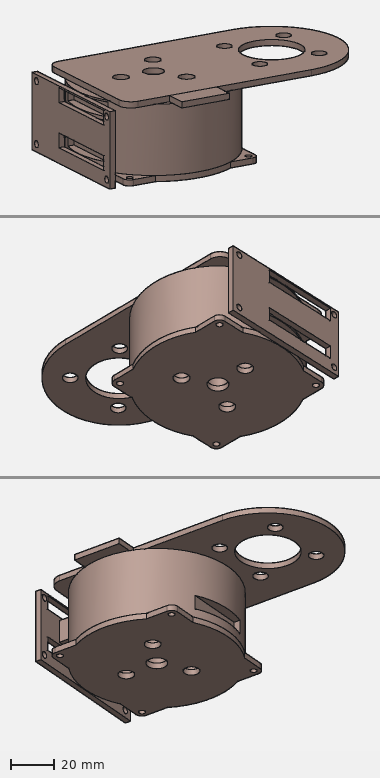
import cadquery as cq


plate_thickness = 3.0
total_height = 40.6
half_width = 35.6
arm_bottom = total_height - plate_thickness
drum_bottom = plate_thickness

drum_radius = 40.9

shaft_hole_diameter = 10.0
bolt_hole_diameter = 7.8
bolt_circle_radius = 17.5
bolt_count = 3
first_bolt_angle = 30

arm_reach = 63.8
arm_front_y = -36.0
arm_corner_radius = 6.5
bearing_hole_diameter = 30.7
flange_hole_diameter = 7.2
flange_hole_pitch = 31.9

tab_end_x = 46.8
tab_width = 25.5

base_corner_radius = 3.5
ear_hole_diameter = 3.2
ear_hole_pitch = 64.0

panel_front_y = -44.2
panel_back_y = panel_front_y + plate_thickness
panel_right_x = 34.5
panel_hole_diameter = 3.3
panel_hole_left_inset = 4.2
panel_hole_right_inset = 2.9
panel_hole_bottom_inset = 3.9
panel_hole_top_inset = 3.2

slot_left_x = -11.3
slot_right_x = 29.0
slot_height = 7.2
lower_slot_z = 7.6
upper_slot_z = 29.6
slot_floor_y = -36.0

block_half_width = 20.0
block_bottom = 16.1
block_top = 27.7


def box_between(x_range, y_range, z_range):
    """Box given by its lower and upper limit along each axis."""
    return (
        cq.Workplane("XY")
        .box(
            x_range[1] - x_range[0],
            y_range[1] - y_range[0],
            z_range[1] - z_range[0],
            centered=False,
        )
        .translate((x_range[0], y_range[0], z_range[0]))
    )


def mounting_holes():
    """Cutter for the shaft hole and the bolt holes around it."""
    bolts = (
        cq.Workplane("XY")
        .polarArray(bolt_circle_radius, first_bolt_angle, 360, bolt_count)
        .circle(bolt_hole_diameter / 2)
        .extrude(total_height)
    )
    shaft = cq.Workplane("XY").circle(shaft_hole_diameter / 2).extrude(total_height)
    return bolts.union(shaft)


def slot_cutter(y_range, bottom_z):
    return box_between((slot_left_x, slot_right_x), y_range, (bottom_z, bottom_z + slot_height))


def connector_block():
    return box_between(
        (-block_half_width, block_half_width),
        (panel_back_y, slot_floor_y),
        (block_bottom, block_top),
    )


def arm():
    """Long plate with one round end and two rounded corners."""
    plate = (
        cq.Workplane("XY", origin=(0, 0, arm_bottom))
        .moveTo(-half_width, arm_front_y)
        .lineTo(half_width, arm_front_y)
        .lineTo(half_width, arm_reach)
        .threePointArc((0, arm_reach + half_width), (-half_width, arm_reach))
        .close()
        .extrude(plate_thickness)
    )
    plate = plate.edges("|Z").edges("<Y").fillet(arm_corner_radius)
    end_holes = cq.Workplane("XY", origin=(0, arm_reach, arm_bottom))
    bearing_hole = end_holes.circle(bearing_hole_diameter / 2).extrude(plate_thickness)
    flange_holes = (
        end_holes.rect(flange_hole_pitch, flange_hole_pitch, forConstruction=True)
        .vertices()
        .circle(flange_hole_diameter / 2)
        .extrude(plate_thickness)
    )
    return plate.cut(bearing_hole).cut(flange_holes).cut(mounting_holes())


def tab():
    """Small plate against the right edge of the arm."""
    return box_between(
        (half_width, tab_end_x),
        (-tab_width / 2, tab_width / 2),
        (arm_bottom, total_height),
    )


def drum():
    """Cylinder with slots in its rim and a recess for the connector block."""
    body = (
        cq.Workplane("XY", origin=(0, 0, drum_bottom))
        .circle(drum_radius)
        .extrude(arm_bottom - drum_bottom)
    )
    front_slot = (-drum_radius, slot_floor_y)
    back_slot = (-slot_floor_y, drum_radius)
    body = body.cut(slot_cutter(front_slot, lower_slot_z))
    body = body.cut(slot_cutter(front_slot, upper_slot_z))
    body = body.cut(slot_cutter(back_slot, lower_slot_z))
    return body.cut(connector_block()).cut(mounting_holes())


def base():
    """Disc joined with a square plate whose corners form four drilled ears."""
    disc = cq.Workplane("XY").circle(drum_radius).extrude(plate_thickness)
    square = (
        cq.Workplane("XY")
        .rect(2 * half_width, 2 * half_width)
        .extrude(plate_thickness)
        .edges("|Z")
        .fillet(base_corner_radius)
    )
    ear_holes = (
        cq.Workplane("XY")
        .rect(ear_hole_pitch, ear_hole_pitch, forConstruction=True)
        .vertices()
        .circle(ear_hole_diameter / 2)
        .extrude(plate_thickness)
    )
    return disc.union(square).cut(ear_holes).cut(mounting_holes())


def panel():
    """Upright plate with two cable slots and four corner holes."""
    y_range = (panel_front_y, panel_back_y)
    plate = box_between((-half_width, panel_right_x), y_range, (0, arm_bottom))
    for bottom_z in (lower_slot_z, upper_slot_z):
        plate = plate.cut(slot_cutter(y_range, bottom_z))
    corner_holes = [
        (x, z)
        for x in (-half_width + panel_hole_left_inset, panel_right_x - panel_hole_right_inset)
        for z in (panel_hole_bottom_inset, arm_bottom - panel_hole_top_inset)
    ]
    holes = (
        cq.Workplane("XZ", origin=(0, panel_back_y, 0))
        .pushPoints(corner_holes)
        .circle(panel_hole_diameter / 2)
        .extrude(plate_thickness)
    )
    return plate.cut(holes)


result = cq.Compound.makeCompound([
    arm().val(),
    tab().val(),
    drum().val(),
    base().val(),
    panel().val(),
    connector_block().val(),
])